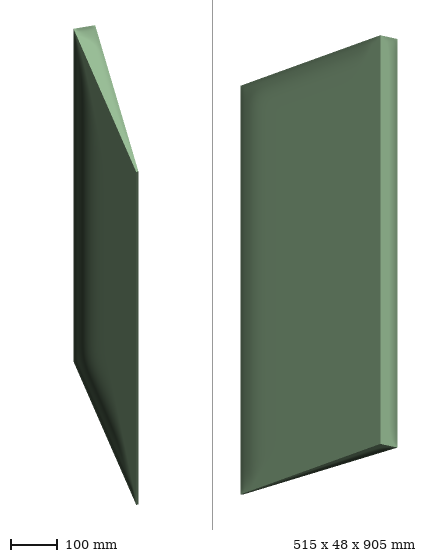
import cadquery as cq

width = 515.0
height = 905.0
thick_edge = 48.0
thin_edge = 5.0

result = (
    cq.Workplane("XY")
    .polyline([(0, 0), (width, 0), (width, thin_edge), (0, thick_edge)])
    .close()
    .extrude(height)
)